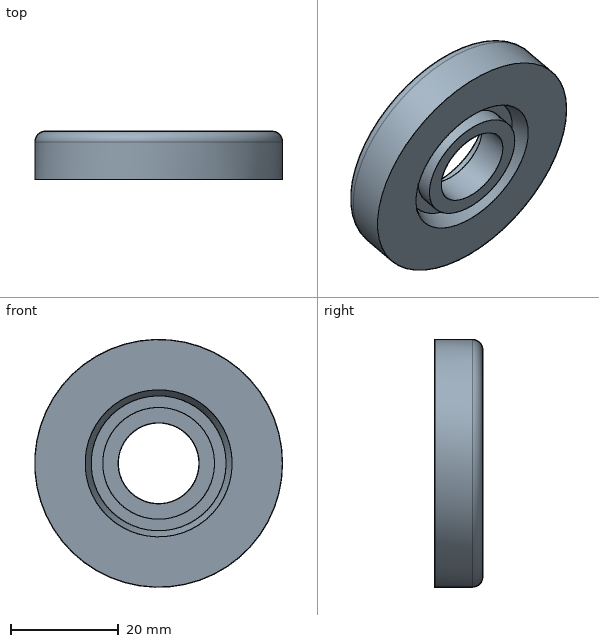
import cadquery as cq

disc_diameter = 46.1
disc_thickness = 9.0
bore_diameter = 15.0

counterbore_diameter = 21.0
counterbore_depth = 3.0

rim_round = 2.0

hub_diameter = 20.8
recess_mouth_diameter = 27.35
recess_floor_diameter = 25.1
recess_depth = 3.27


def make_disc():
    disc = cq.Workplane("XZ").circle(disc_diameter / 2).extrude(-disc_thickness)
    return disc.faces(">Y").edges().fillet(rim_round)


def make_recess():
    """Ring-shaped cutter, narrowing towards its floor on the outside only."""
    profile = [
        (hub_diameter / 2, 0),
        (recess_mouth_diameter / 2, 0),
        (recess_floor_diameter / 2, recess_depth),
        (hub_diameter / 2, recess_depth),
    ]
    return cq.Workplane("XY").polyline(profile).close().revolve(360, (0, 0, 0), (0, 1, 0))


def make_bore():
    return cq.Workplane("XZ").circle(bore_diameter / 2).extrude(-disc_thickness)


def make_counterbore():
    floor = cq.Workplane("XZ", origin=(0, disc_thickness - counterbore_depth, 0))
    return floor.circle(counterbore_diameter / 2).extrude(-counterbore_depth)


result = make_disc().cut(make_recess()).cut(make_bore()).cut(make_counterbore())